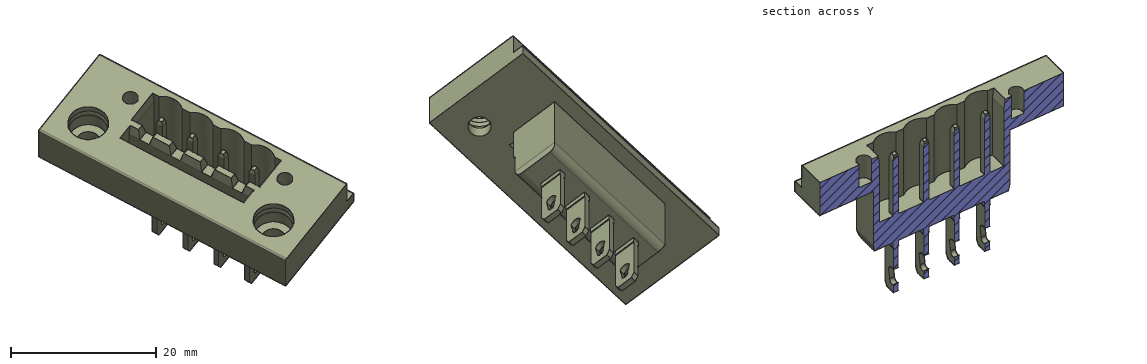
import cadquery as cq
import math


flange_length = 40.6
flange_depth = 17.3
flange_height = 6.15
overall_height = 26.5
ledge_depth = 1.7
ledge_height = 2.0
edge_radius = 0.25

contact_count = 4
pitch = 5.07
contact_y = 11.52
contact_xs = [(i - (contact_count - 1) / 2) * pitch for i in range(contact_count)]

screw_spacing = 30.45
screw_y = 4.75
screw_diameter = 3.2
head_diameter = 5.6
bead_top = flange_height - 1.0
bead_height = 0.97
bead_bottom = bead_top - bead_height
bead_middle = bead_top - bead_height / 2
bead_rise = 0.12
side_hole_spacing = 25.35
side_hole_diameter = 2.15
hole_floor = ledge_height

housing_length = 22.8
housing_front = 7.6
housing_back = 15.2
housing_bottom = -11.08
lower_front = 7.87
front_step_z = -6.1
front_step_height = 0.25
base_rounding = 1.1
end_taper = 0.25

socket_length = 20.6
socket_front = 8.8
socket_back = 13.88
socket_floor = front_step_z
scallop_width = 3.8
scallop_rise = 0.75
front_lead_in = 0.32
side_lead_in = 0.25
lead_in_depth = 1.65
lead_in_z = flange_height - lead_in_depth

slot_length = 20.3
slot_front = 5.0
slot_back = 7.25
slot_step = 0.77
slot_step_z = ledge_height

notch_floor_width = 1.5
notch_top_width = 2.35

pin_width = 1.0
pin_depth = 1.05
pin_top = 4.9
pin_chamfer = 0.2
pin_taper_height = 0.8

tail_depth = 3.45
tail_width = 0.8
tail_collar_width = 1.0
tail_collar_end = -12.05
tail_end = flange_height - overall_height
tail_chamfer_depth = 0.5
tail_chamfer_height = 0.85
eye_upper_radius = 0.85
eye_upper_z = -16.85
eye_lower_radius = 0.53
eye_lower_z = -18.45


def block(length, y_range, z_range):
    """Box centred on X = 0 and filling the given Y and Z ranges."""
    size_y = y_range[1] - y_range[0]
    size_z = z_range[1] - z_range[0]
    solid = cq.Workplane("XY").box(length, size_y, size_z, centered=(True, False, False))
    return solid.translate((0, y_range[0], z_range[0]))


def extrude_along_x(points, length):
    """Extrude a (Y, Z) outline symmetrically about X = 0."""
    return cq.Workplane("YZ").polyline(points).close().extrude(length / 2, both=True)


def frustum(lower, lower_z, upper, upper_z):
    """Straight loft between two XY rectangles given as (length, y_min, y_max)."""
    def outline(rectangle, z):
        length, y_min, y_max = rectangle
        corners = [(-length / 2, y_min), (length / 2, y_min), (length / 2, y_max), (-length / 2, y_max)]
        return cq.Wire.makePolygon([cq.Vector(x, y, z) for x, y in corners], close=True)

    return cq.Workplane(cq.Solid.makeLoft([outline(lower, lower_z), outline(upper, upper_z)], True))


def make_flange():
    """Stepped plate whose long upper edges are rounded."""
    step_y = flange_depth - ledge_depth
    flange = extrude_along_x(
        [
            (0, 0),
            (flange_depth, 0),
            (flange_depth, ledge_height),
            (step_y, ledge_height),
            (step_y, flange_height),
            (0, flange_height),
        ],
        flange_length,
    )
    for y, z in [(0, flange_height), (step_y, flange_height), (flange_depth, ledge_height)]:
        flange = flange.edges(cq.selectors.NearestToPointSelector((0, y, z))).fillet(edge_radius)
    return flange


def make_housing():
    """Body under the flange, rounded along its base and tapered at both ends."""
    base_top = housing_bottom + base_rounding
    housing = extrude_along_x(
        [
            (housing_front, 0),
            (housing_front, front_step_z),
            (lower_front, front_step_z - front_step_height),
            (lower_front, housing_bottom),
            (housing_back, housing_bottom),
            (housing_back, 0),
        ],
        housing_length,
    )
    housing = housing.edges("|X and <Z").fillet(base_rounding)
    tapered_length = housing_length - 2 * end_taper
    envelope = block(housing_length, (housing_front, housing_back), (base_top, 0)).union(
        frustum(
            (tapered_length, housing_front, housing_back),
            housing_bottom,
            (housing_length, housing_front, housing_back),
            base_top,
        )
    )
    return housing.intersect(envelope)


def make_socket():
    """Plug cavity with tapered mouth and a scallop in the back wall behind each pin."""
    height = flange_height - socket_floor
    socket = block(socket_length, (socket_front, socket_back), (socket_floor, flange_height))
    socket = socket.union(
        frustum(
            (socket_length, socket_front, socket_back),
            lead_in_z,
            (socket_length + 2 * side_lead_in, socket_front - front_lead_in, socket_back),
            flange_height,
        )
    )
    for x in contact_xs:
        scallop = (
            cq.Workplane("XY", origin=(x, socket_back, socket_floor))
            .moveTo(-scallop_width / 2, 0)
            .threePointArc((0, scallop_rise), (scallop_width / 2, 0))
            .lineTo(scallop_width / 2, -scallop_rise)
            .lineTo(-scallop_width / 2, -scallop_rise)
            .close()
            .extrude(height)
        )
        socket = socket.union(scallop)
    return socket


def make_slot():
    """Opening through the flange that sets the tabbed wall free from the front."""
    return extrude_along_x(
        [
            (slot_front, slot_step_z),
            (slot_front, flange_height),
            (slot_back + front_lead_in, flange_height),
            (slot_back, lead_in_z),
            (slot_back, 0),
            (slot_front + slot_step, 0),
            (slot_front + slot_step, slot_step_z),
        ],
        slot_length,
    )


def make_notch(x):
    """Gap between two tabs, narrowing towards its floor."""
    return (
        cq.Workplane("XZ", origin=(x, slot_back, 0))
        .moveTo(-notch_floor_width / 2, lead_in_z)
        .lineTo(notch_floor_width / 2, lead_in_z)
        .lineTo(notch_top_width / 2, flange_height)
        .lineTo(-notch_top_width / 2, flange_height)
        .close()
        .extrude(slot_back - socket_front)
    )


def make_screw_hole(x):
    """Counterbored hole whose wall keeps a rounded bead."""
    through = cq.Workplane("XY").circle(screw_diameter / 2).extrude(flange_height)
    head_radius = head_diameter / 2
    head = (
        cq.Workplane("XZ")
        .moveTo(0, hole_floor)
        .lineTo(head_radius, hole_floor)
        .lineTo(head_radius, bead_bottom)
        .threePointArc((head_radius - bead_rise, bead_middle), (head_radius, bead_top))
        .lineTo(head_radius, flange_height)
        .lineTo(0, flange_height)
        .close()
        .revolve(360, (0, 0, 0), (0, 1, 0))
    )
    return through.union(head).translate((x, screw_y, 0))


def make_side_hole(x):
    hole = cq.Workplane("XY").circle(side_hole_diameter / 2).extrude(flange_height - hole_floor)
    return hole.translate((x, contact_y, hole_floor))


def make_pin(x):
    """Pin standing on the socket floor."""
    y_range = (contact_y - pin_depth / 2, contact_y + pin_depth / 2)
    taper_start = pin_top - pin_taper_height
    shank = block(pin_width, y_range, (socket_floor, taper_start))
    tip = frustum(
        (pin_width, *y_range),
        taper_start,
        (pin_width - 2 * pin_chamfer, y_range[0] + pin_chamfer, y_range[1] - pin_chamfer),
        pin_top,
    )
    return shank.union(tip).translate((x, 0, 0))


def make_eye():
    """Keyhole opening: a large and a small circle joined by their common tangents."""
    slope = (eye_upper_radius - eye_lower_radius) / (eye_upper_z - eye_lower_z)
    across = math.sqrt(1 - slope**2)
    upper_y, upper_z = eye_upper_radius * across, eye_upper_z + eye_upper_radius * slope
    lower_y, lower_z = eye_lower_radius * across, eye_lower_z + eye_lower_radius * slope
    return (
        cq.Workplane("YZ", origin=(0, contact_y, 0))
        .moveTo(-upper_y, upper_z)
        .threePointArc((0, eye_upper_z + eye_upper_radius), (upper_y, upper_z))
        .lineTo(lower_y, lower_z)
        .threePointArc((0, eye_lower_z - eye_lower_radius), (-lower_y, lower_z))
        .close()
        .extrude(tail_width, both=True)
    )


def make_tail(x):
    """Flat solder tail with a thicker collar against the housing."""
    y_range = (contact_y - tail_depth / 2, contact_y + tail_depth / 2)
    shoulder_z = tail_end + tail_chamfer_height
    blade = extrude_along_x(
        [
            (y_range[0], housing_bottom),
            (y_range[0], shoulder_z),
            (y_range[0] + tail_chamfer_depth, tail_end),
            (y_range[1] - tail_chamfer_depth, tail_end),
            (y_range[1], shoulder_z),
            (y_range[1], housing_bottom),
        ],
        tail_width,
    )
    collar = block(tail_collar_width, y_range, (tail_collar_end, housing_bottom))
    return blade.cut(make_eye()).union(collar).translate((x, 0, 0))


result = make_flange().union(make_housing()).cut(make_socket()).cut(make_slot())

for side in (-1, 1):
    result = result.cut(make_screw_hole(side * screw_spacing / 2))
    result = result.cut(make_side_hole(side * side_hole_spacing / 2))

for contact_x in contact_xs:
    result = result.cut(make_notch(contact_x))
    result = result.union(make_pin(contact_x)).union(make_tail(contact_x))